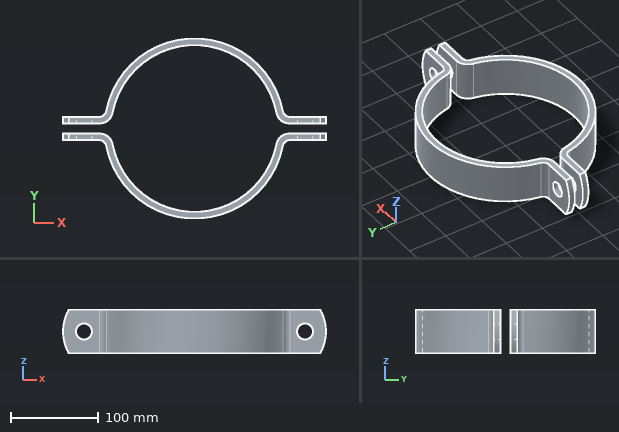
import cadquery as cq
import math

overall_length = 302.0
band_outer_radius = 103.45
thickness = 8.0
width = 50.0
gap = 11.2
bend_inner_radius = 8.0
tip_radius = 50.0
hole_diameter = 18.0
hole_spacing = 253.7

half_length = overall_length / 2
band_inner_radius = band_outer_radius - thickness
bend_outer_radius = bend_inner_radius + thickness
tab_inner_y = gap / 2
tab_outer_y = tab_inner_y + thickness

bend_center_y = tab_outer_y + bend_inner_radius
bend_center_distance = band_outer_radius + bend_inner_radius
bend_center_x = math.sqrt(bend_center_distance**2 - bend_center_y**2)
band_start_angle = math.asin(bend_center_y / bend_center_distance)

bend_mid_angle = (-math.pi / 2 + band_start_angle - math.pi) / 2


def band_point(radius, side):
    """Junction of band and bend at a radius; side is -1 or 1 along X."""
    return (side * radius * math.cos(band_start_angle), radius * math.sin(band_start_angle))


def bend_mid_point(radius, side):
    """Middle of a bend arc; side is -1 or 1 along X."""
    x = bend_center_x + radius * math.cos(bend_mid_angle)
    y = bend_center_y + radius * math.sin(bend_mid_angle)
    return (side * x, y)


def make_strip():
    """Bent strip of one clamp half, on the +Y side, with square tab ends."""
    return (
        cq.Workplane("XY")
        .workplane(offset=-width / 2)
        .moveTo(-half_length, tab_outer_y)
        .lineTo(-bend_center_x, tab_outer_y)
        .threePointArc(bend_mid_point(bend_inner_radius, -1), band_point(band_outer_radius, -1))
        .threePointArc((0, band_outer_radius), band_point(band_outer_radius, 1))
        .threePointArc(bend_mid_point(bend_inner_radius, 1), (bend_center_x, tab_outer_y))
        .lineTo(half_length, tab_outer_y)
        .lineTo(half_length, tab_inner_y)
        .lineTo(bend_center_x, tab_inner_y)
        .threePointArc(bend_mid_point(bend_outer_radius, 1), band_point(band_inner_radius, 1))
        .threePointArc((0, band_inner_radius), band_point(band_inner_radius, -1))
        .threePointArc(bend_mid_point(bend_outer_radius, -1), (-bend_center_x, tab_inner_y))
        .lineTo(-half_length, tab_inner_y)
        .close()
        .extrude(width)
    )


def make_tip_envelope():
    """Block with arched ends that rounds the tab tips."""
    tip_depth = tip_radius - math.sqrt(tip_radius**2 - (width / 2)**2)
    corner_x = half_length - tip_depth
    return (
        cq.Workplane("XZ")
        .moveTo(-corner_x, -width / 2)
        .lineTo(corner_x, -width / 2)
        .threePointArc((half_length, 0), (corner_x, width / 2))
        .lineTo(-corner_x, width / 2)
        .threePointArc((-half_length, 0), (-corner_x, -width / 2))
        .close()
        .extrude(band_outer_radius, both=True)
    )


def make_bolt_holes():
    """Cutters for the holes through both tabs."""
    return (
        cq.Workplane("XZ")
        .pushPoints([(-hole_spacing / 2, 0), (hole_spacing / 2, 0)])
        .circle(hole_diameter / 2)
        .extrude(tab_outer_y + bend_inner_radius, both=True)
    )


def make_clamp_half(rotation):
    """One clamp half, turned about Z by rotation degrees."""
    half = make_strip().intersect(make_tip_envelope()).cut(make_bolt_holes())
    return half.rotate((0, 0, 0), (0, 0, 1), rotation)


clamp_halves = [make_clamp_half(rotation) for rotation in (0, 180)]

result = cq.Compound.makeCompound([half.solids().val() for half in clamp_halves])